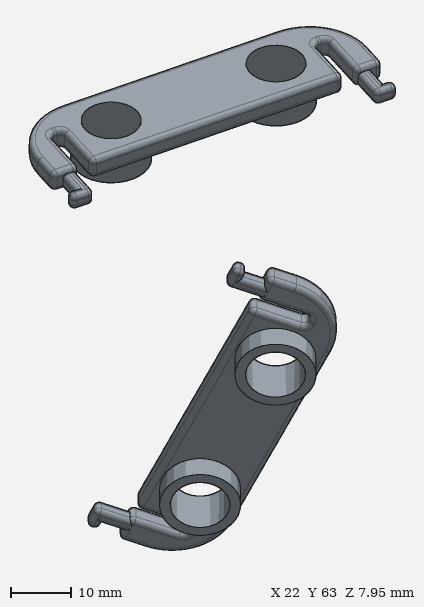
import cadquery as cq

plate_length = 63.0
plate_width = 16.0
plate_thickness = 3.9
plate_corner_radius = 11.0
edge_radius = 1.0

end_strip_width = 5.05
slot_width = 2.4
slot_start = 6.0
slot_corner_radius = 0.95

boss_diameter = 13.5
boss_height = 4.05
hole_diameter = 9.95
boss_spacing = plate_length / 2

overall_width = 22.0
arm_height = 2.95
arm_width = 2.5
arm_inset = 2.0
hook_width = 2.0
hook_inset = 0.45
latch_edge_radius = 0.95
arm_embed = 2.5

half_length = plate_length / 2


def make_plate():
    """Slotted plate with its underside at Z = 0 and its -X side at X = 0."""
    plate = (
        cq.Workplane("XY")
        .box(plate_width, plate_length, plate_thickness, centered=(False, True, False))
        .edges("|Z and <X")
        .fillet(plate_corner_radius)
    )
    slot_length = plate_width - slot_start
    slot_offset = half_length - end_strip_width - slot_width / 2
    for side in (-1, 1):
        cutter = (
            cq.Workplane("XY")
            .box(2 * slot_length, slot_width, plate_thickness, centered=(False, True, False))
            .edges("|Z")
            .fillet(slot_corner_radius)
            .translate((slot_start, side * slot_offset, 0))
        )
        plate = plate.cut(cutter)
    rims = plate.faces("<Z or >Z").edges()
    outer_corners = plate.edges("|Z and >X")
    return rims.add(outer_corners).fillet(edge_radius)


def rounded_bar(x_min, x_max, y_min, y_max):
    """Bar resting on Z = 0, as high as the latch arm, with every edge rounded."""
    return (
        cq.Workplane("XY")
        .box(x_max - x_min, y_max - y_min, arm_height, centered=False)
        .edges()
        .fillet(latch_edge_radius)
        .translate((x_min, y_min, 0))
    )


def make_latch():
    """Latch at the +Y end: an arm along X whose hook points toward +Y."""
    arm_outer = half_length - arm_inset
    arm_inner = arm_outer - arm_width
    arm = rounded_bar(plate_width - arm_embed, overall_width, arm_inner, arm_outer)
    hook_tip = half_length - hook_inset
    hook = rounded_bar(overall_width - hook_width, overall_width, arm_inner, hook_tip)
    return arm.union(hook)


boss_centers = [(plate_width / 2, side * boss_spacing / 2) for side in (-1, 1)]
bosses = cq.Workplane("XY").pushPoints(boss_centers).circle(boss_diameter / 2).extrude(-boss_height)
holes = (
    cq.Workplane("XY")
    .workplane(offset=-boss_height)
    .pushPoints(boss_centers)
    .circle(hole_diameter / 2)
    .extrude(boss_height + plate_thickness)
)

latch = make_latch()
result = make_plate().union(latch).union(latch.mirror("XZ")).union(bosses).cut(holes)